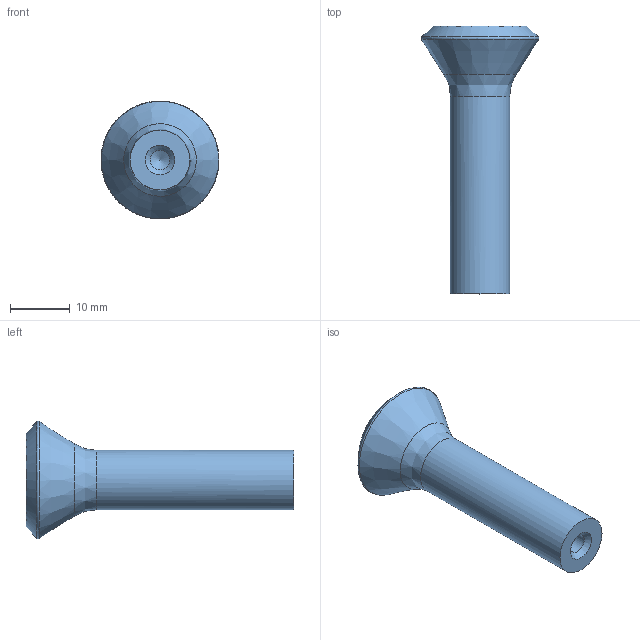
import cadquery as cq
import math


total_length = 45.0
shaft_radius = 5.0

head_radius = 10.0
head_face_radius = 7.8
rim_setback = 2.0
flare_angle = 32.5
rim_rounding = 0.3
neck_fillet = 7.0

hole_radius = 1.65
hole_depth = 10.0
hole_tip_angle = 120.0
countersink_radius = 2.5
countersink_angle = 90.0

rim_y = total_length - rim_setback
neck_y = rim_y - (head_radius - shaft_radius) / math.tan(math.radians(flare_angle))


def cone_height(radius_change, included_angle):
    """Axial length of a cone surface over the given change of radius."""
    return radius_change / math.tan(math.radians(included_angle / 2))


def revolve_about_y(points):
    """Solid of revolution about the Y axis from (radius, y) points."""
    return cq.Workplane("XY").polyline(points).close().revolve(360, (0, 0, 0), (0, 1, 0))


def circle_edge_at(y):
    """Selector for the circular edge centred on the axis at the given y."""
    reach = 2 * head_radius
    tolerance = rim_rounding / 10
    return cq.selectors.BoxSelector(
        (-reach, y - tolerance, -reach), (reach, y + tolerance, reach), boundingbox=True
    )


def make_body():
    body = revolve_about_y([
        (0, 0),
        (shaft_radius, 0),
        (shaft_radius, neck_y),
        (head_radius, rim_y),
        (head_face_radius, total_length),
        (0, total_length),
    ])
    body = body.edges(circle_edge_at(neck_y)).fillet(neck_fillet)
    return body.edges(circle_edge_at(rim_y)).fillet(rim_rounding)


def make_pilot_hole():
    countersink_depth = cone_height(countersink_radius - hole_radius, countersink_angle)
    tip_depth = hole_depth + cone_height(hole_radius, hole_tip_angle)
    return revolve_about_y([
        (0, 0),
        (countersink_radius, 0),
        (hole_radius, countersink_depth),
        (hole_radius, hole_depth),
        (0, tip_depth),
    ])


result = make_body().cut(make_pilot_hole())